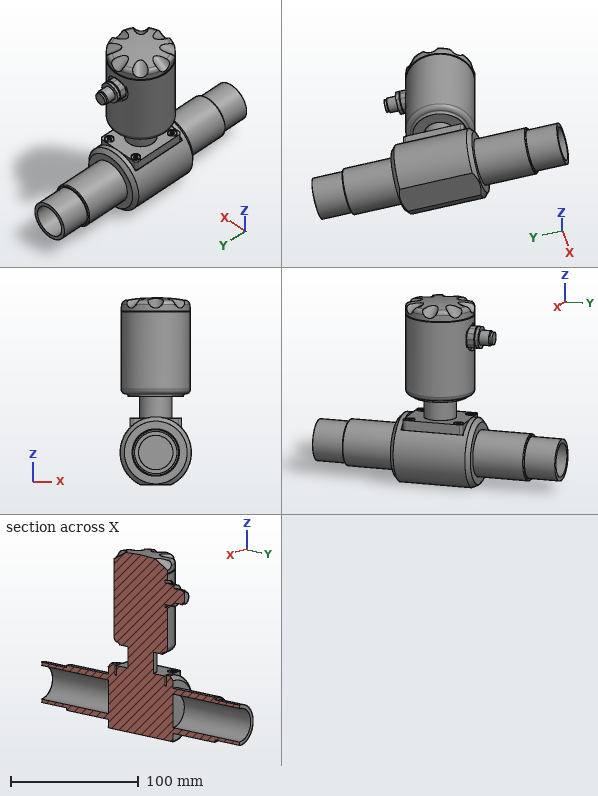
import cadquery as cq
import math


OVERALL_HEIGHT = 146.8

PIPE_LENGTH = 200.0
PIPE_END_DIA = 33.2
PIPE_SLEEVE_DIA = 37.2
PIPE_SLEEVE_LENGTH = 150.0
PIPE_SLEEVE_CHAMFER = 0.8
BORE_DIA = 27.0

BODY_DIA = 56.0
BODY_LENGTH = 66.0
BODY_CHAMFER = 3.5
BODY_FLAT_Z = -25.5

POCKET_FLOOR_Z = 19.0
POCKET_LENGTH = 51.2
PAD_WIDTH = 40.5
PAD_LENGTH = 49.5
PAD_TOP_Z = 27.0
PAD_CORNER_RADIUS = 2.2

SCREW_SPACING_X = 29.5
SCREW_SPACING_Y = 40.0
COUNTERBORE_DIA = 7.5
SCREW_HEAD_DIA = 7.0
COUNTERBORE_DEPTH = 1.0
SCREW_HEAD_DROP = 0.2
SOCKET_DIA = 3.2
SOCKET_PIN_DIA = 1.0

STEM_DIA = 25.8
HEAD_DIA = 54.5
HEAD_BOTTOM_Z = 44.0
HEAD_EDGE_RADIUS = 3.8
HEAD_FOOT_RADIUS = 1.8
LID_SEAM_Z = 110.2
LID_SEAM_WIDTH = 0.5
LID_SEAM_DEPTH = 0.5
LID_EDGE_Z = 115.8
LID_EDGE_RADIUS = 3.5
HEAD_TOP_Z = BODY_FLAT_Z + OVERALL_HEIGHT

SCALLOP_COUNT = 8
SCALLOP_DIA = 14.0
SCALLOP_RIM_Z = 113.2
SCALLOP_SLOPE = 31.0
SCALLOP_CUTTER_LENGTH = 60.0

CONNECTOR_Z = 93.8
SPOTFACE_DIA = 22.0
SPOTFACE_Y = 24.8
NUT_ROUND_DIA = 18.0
NUT_FLATS = 17.5
NUT_TURN = -15.0
NUT_END_Y = 34.0
NUT_SEAM_Y = 30.5
NUT_SEAM_WIDTH = 0.5
NUT_SEAM_DIA = 16.8
PLUG_DIA = 12.0
PLUG_SHOULDER_Y = 41.8
PLUG_TIP_DIA = 10.2
PLUG_TIP_END_Y = 44.5
PLUG_CHAMFER = 0.8


def rod_y(diameter, y_start, y_end, z=0.0):
    """Round rod along Y between two Y positions."""
    plane = cq.Workplane("XZ", origin=(0, y_start, z))
    return plane.circle(diameter / 2).extrude(y_start - y_end)


def centred_rod_y(diameter, length):
    return rod_y(diameter, -length / 2, length / 2)


def make_pipe():
    sleeve = centred_rod_y(PIPE_SLEEVE_DIA, PIPE_SLEEVE_LENGTH)
    sleeve = sleeve.faces("<Y or >Y").chamfer(PIPE_SLEEVE_CHAMFER)
    return centred_rod_y(PIPE_END_DIA, PIPE_LENGTH).union(sleeve)


def make_body():
    body = centred_rod_y(BODY_DIA, BODY_LENGTH).faces("<Y or >Y").chamfer(BODY_CHAMFER)
    below_flat = cq.Workplane("XY", origin=(0, 0, BODY_FLAT_Z))
    below_flat = below_flat.rect(BODY_DIA, BODY_LENGTH).extrude(-BODY_DIA)
    pocket = cq.Workplane("XY", origin=(0, 0, POCKET_FLOOR_Z))
    pocket = pocket.rect(BODY_DIA, POCKET_LENGTH).extrude(BODY_DIA)
    return body.cut(below_flat).cut(pocket)


def make_pad():
    pad = cq.Workplane("XY", origin=(0, 0, POCKET_FLOOR_Z))
    pad = pad.rect(PAD_WIDTH, PAD_LENGTH).extrude(PAD_TOP_Z - POCKET_FLOOR_Z)
    pad = pad.edges("|Z").fillet(PAD_CORNER_RADIUS)
    counterbore_floor = cq.Workplane("XY", origin=(0, 0, PAD_TOP_Z - COUNTERBORE_DEPTH))
    screws = counterbore_floor.rect(SCREW_SPACING_X, SCREW_SPACING_Y, forConstruction=True).vertices()
    counterbores = screws.circle(COUNTERBORE_DIA / 2).extrude(COUNTERBORE_DEPTH)
    head_height = COUNTERBORE_DEPTH - SCREW_HEAD_DROP
    heads = screws.circle(SCREW_HEAD_DIA / 2).extrude(head_height)
    sockets = screws.circle(SOCKET_DIA / 2).extrude(head_height)
    pins = screws.circle(SOCKET_PIN_DIA / 2).extrude(head_height)
    return pad.cut(counterbores).union(heads.cut(sockets)).union(pins)


def make_head():
    """Turned profile of the head: S-curved lower edge, rounded lid edge and a dome."""
    radius = HEAD_DIA / 2
    bend_radius = radius - HEAD_EDGE_RADIUS
    bend_z = HEAD_BOTTOM_Z + HEAD_FOOT_RADIUS
    dome_radius = radius - LID_EDGE_RADIUS
    dome_edge_z = LID_EDGE_Z + LID_EDGE_RADIUS
    dome_rise = HEAD_TOP_Z - dome_edge_z
    sphere_radius = (dome_radius**2 + dome_rise**2) / (2 * dome_rise)
    half_way = dome_radius / 2
    dome_middle_z = HEAD_TOP_Z - sphere_radius + math.sqrt(sphere_radius**2 - half_way**2)
    profile = (
        cq.Workplane("XZ")
        .moveTo(0, HEAD_BOTTOM_Z)
        .lineTo(bend_radius - HEAD_FOOT_RADIUS, HEAD_BOTTOM_Z)
        .radiusArc((bend_radius, bend_z), HEAD_FOOT_RADIUS)
        .radiusArc((radius, bend_z + HEAD_EDGE_RADIUS), -HEAD_EDGE_RADIUS)
        .lineTo(radius, LID_EDGE_Z)
        .radiusArc((dome_radius, dome_edge_z), -LID_EDGE_RADIUS)
        .threePointArc((half_way, dome_middle_z), (0, HEAD_TOP_Z))
        .close()
    )
    seam = cq.Workplane("XY", origin=(0, 0, LID_SEAM_Z)).circle(radius)
    seam = seam.circle(radius - LID_SEAM_DEPTH).extrude(LID_SEAM_WIDTH)
    return profile.revolve(360, (0, 0, 0), (0, 1, 0)).cut(seam)


def cut_scallops(head):
    """Sloping round grooves that run from the dome down to the side of the lid."""
    slope = math.radians(SCALLOP_SLOPE)
    outward = cq.Vector(math.cos(slope), 0, -math.sin(slope))
    upward = cq.Vector(math.sin(slope), 0, math.cos(slope))
    groove_end = cq.Vector(HEAD_DIA / 2, 0, SCALLOP_RIM_Z) + upward * (SCALLOP_DIA / 2)
    start = groove_end - outward * (SCALLOP_CUTTER_LENGTH / 2)
    cutter = cq.Solid.makeCylinder(SCALLOP_DIA / 2, SCALLOP_CUTTER_LENGTH, start, outward)
    for index in range(SCALLOP_COUNT):
        angle = index * 360 / SCALLOP_COUNT
        head = head.cut(cq.Workplane(cutter.rotate((0, 0, 0), (0, 0, 1), angle)))
    return head


def cut_spotface(head):
    """Flat round seat for the connector nut."""
    return head.cut(rod_y(SPOTFACE_DIA, SPOTFACE_Y, HEAD_DIA / 2, CONNECTOR_Z))


def make_stem():
    stem = cq.Workplane("XY", origin=(0, 0, POCKET_FLOOR_Z))
    return stem.circle(STEM_DIA / 2).extrude(HEAD_BOTTOM_Z - POCKET_FLOOR_Z)


def make_connector():
    """Hexagon nut with rounded corners and a seam, and the plug it holds."""
    plane = cq.Workplane("XZ", origin=(0, 0, CONNECTOR_Z))
    corner_dia = NUT_FLATS / math.cos(math.radians(30))
    nut = plane.polygon(6, corner_dia).extrude(-NUT_END_Y)
    nut = nut.rotate((0, 0, CONNECTOR_Z), (0, 1, CONNECTOR_Z), NUT_TURN)
    nut = nut.intersect(rod_y(NUT_ROUND_DIA, 0, NUT_END_Y, CONNECTOR_Z))
    seam_end = NUT_SEAM_Y + NUT_SEAM_WIDTH
    seam = rod_y(NUT_ROUND_DIA, NUT_SEAM_Y, seam_end, CONNECTOR_Z)
    seam = seam.cut(rod_y(NUT_SEAM_DIA, NUT_SEAM_Y, seam_end, CONNECTOR_Z))
    plug = rod_y(PLUG_DIA, 0, PLUG_SHOULDER_Y + PLUG_CHAMFER, CONNECTOR_Z)
    plug = plug.faces(">Y").chamfer(PLUG_CHAMFER)
    tip = rod_y(PLUG_TIP_DIA, 0, PLUG_TIP_END_Y, CONNECTOR_Z)
    return nut.cut(seam).union(plug).union(tip)


def cut_bores(part):
    """Blind bores from both pipe ends up to the body."""
    for side in (-1, 1):
        bore = rod_y(BORE_DIA, side * BODY_LENGTH / 2, side * PIPE_LENGTH / 2)
        part = part.cut(bore)
    return part


head = cut_spotface(cut_scallops(make_head()))
result = make_pipe().union(make_body()).union(make_pad()).union(make_stem())
result = result.union(head.union(make_connector()))
result = cut_bores(result)